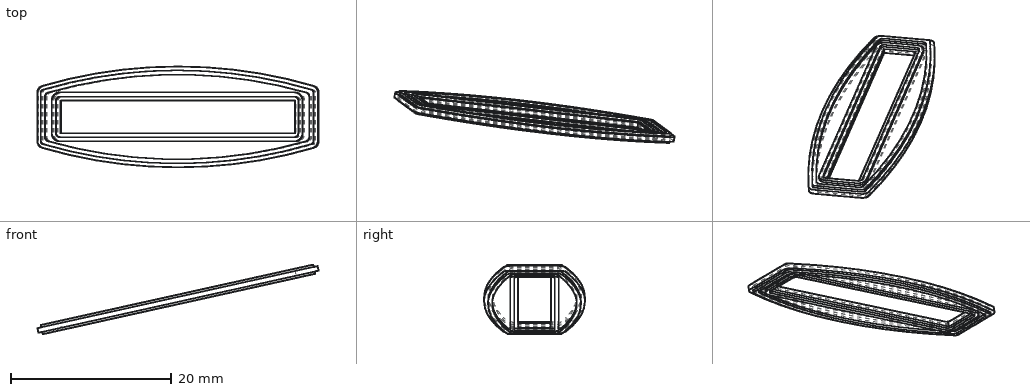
import cadquery as cq
import math

overall_length = 35.08
flange_width = 12.6
tilt = 12.5

flange_thickness = 0.6
raised_height = 0.298
total_thickness = flange_thickness + 2 * raised_height

end_width = 7.35
corner_radius = 0.88
ledge_width = 0.5
raised_width = 0.53
pocket_corner_radius = 0.6
band_width = ledge_width + raised_width

window_length = 30.0
window_width = 4.07
bead_inner_radius = 0.53

tilt_angle = math.radians(tilt)
flange_length = (overall_length - flange_thickness * math.sin(tilt_angle)) / math.cos(tilt_angle)


def bulged_plate(inset, thickness, radius):
    """Plate with straight ends and arched sides, inset from the flange edge and centred on Z = 0."""
    half_length = flange_length / 2
    half_width = flange_width / 2
    half_end = end_width / 2
    sharp_outline = (
        cq.Workplane("XY")
        .workplane(offset=-thickness / 2)
        .moveTo(-half_length, -half_end)
        .threePointArc((0, -half_width), (half_length, -half_end))
        .lineTo(half_length, half_end)
        .threePointArc((0, half_width), (-half_length, half_end))
        .close()
    )
    if inset > 0:
        sharp_outline = sharp_outline.offset2D(-inset)
    return sharp_outline.extrude(thickness).edges("|Z").fillet(radius)


def window_block(margin, thickness):
    """Rectangular block larger than the window by a margin on every side, centred on Z = 0."""
    return cq.Workplane("XY").box(window_length + 2 * margin, window_width + 2 * margin, thickness)


rim = bulged_plate(ledge_width, total_thickness, corner_radius - ledge_width)
rim = rim.cut(bulged_plate(band_width, total_thickness, pocket_corner_radius))

bead = window_block(band_width, total_thickness).edges("|Z").fillet(bead_inner_radius + raised_width)
bead = bead.cut(window_block(ledge_width, total_thickness).edges("|Z").fillet(bead_inner_radius))

flange = bulged_plate(0, flange_thickness, corner_radius)
plate = flange.union(rim).union(bead).cut(window_block(0, total_thickness))

result = plate.rotate((0, 0, 0), (0, 1, 0), -tilt)